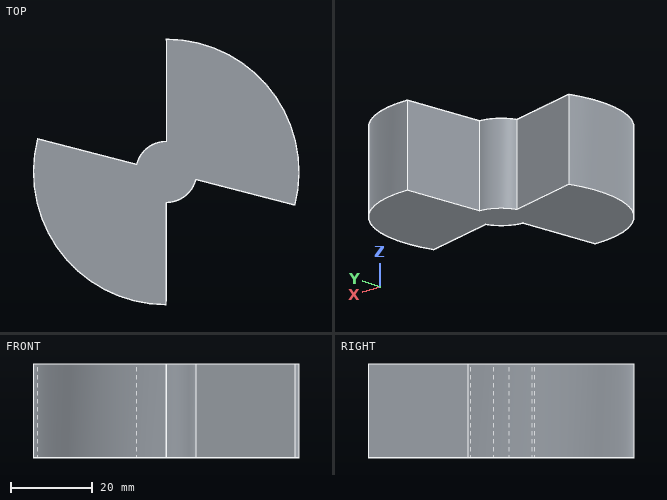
import cadquery as cq
import math

blade_radius = 32.5
hub_radius = 7.5
height = 23.0
blade_start_angle = -14.5
blade_end_angle = 90.0
blade_count = 2


def polar_point(radius, angle):
    """Point at the given radius and angle (degrees) about the Z axis."""
    radians = math.radians(angle)
    return (radius * math.cos(radians), radius * math.sin(radians))


def make_hub():
    """Central cylinder joining the blades."""
    return cq.Workplane("XY").circle(hub_radius).extrude(height)


def make_blade(rotation):
    """Circular sector reaching from the axis to the blade radius."""
    start = blade_start_angle + rotation
    end = blade_end_angle + rotation
    return (
        cq.Workplane("XY")
        .lineTo(*polar_point(blade_radius, start))
        .threePointArc(
            polar_point(blade_radius, (start + end) / 2),
            polar_point(blade_radius, end),
        )
        .close()
        .extrude(height)
    )


result = make_hub()
for index in range(blade_count):
    result = result.union(make_blade(index * 360.0 / blade_count))
result = result.clean()